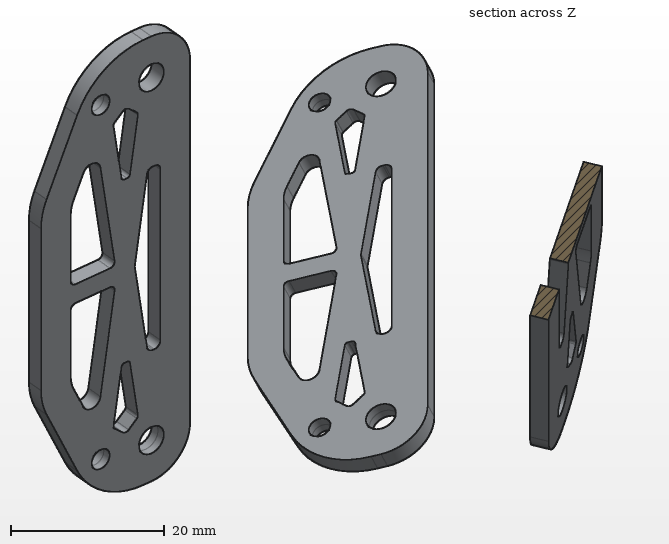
import cadquery as cq
import math


THICKNESS = 2.54
WIDTH = 25.0
HEIGHT = 70.35
HALF_HEIGHT = HEIGHT / 2
BACK_CORNER_RADIUS = 6.5
NOSE_RADIUS = 12.2
BEND_RADIUS = 10.0
SLOPE_ANGLE = math.radians(24.8)
BEND_Z = 15.0

LARGE_HOLE_DIAMETER = 4.15
LARGE_HOLE_INSET = BACK_CORNER_RADIUS
SMALL_HOLE_DIAMETER = 3.0
SMALL_HOLE_OFFSET = 15.0
SMALL_HOLE_Z = 28.0

RIM = 5.0
STRUT_SLOPE = 0.15
CROSSBAR = 3.0
WINDOW_END_Z = 14.5

BACK_WINDOW_TIP = 9.28
BACK_WINDOW_RADIUS = 1.0

FRONT_WINDOW_CORNER = 12.55
FRONT_WINDOW_RADIUS = 0.75
FRONT_WINDOW_TIP_RADIUS = 1.5

KITE_OFFSET = 10.8
KITE_END_HALF_WIDTH = 0.65
KITE_SHOULDER_Z = 24.0
KITE_APEX_Z = 25.8
KITE_RADIUS = 0.5
KITE_APEX_RADIUS = 0.75


def rounded_prism(corners):
    """Extrude a polygon through the plate; corners are (offset, z, fillet radius)."""
    count = len(corners)
    arcs = []
    for index, (offset, z, radius) in enumerate(corners):
        corner = cq.Vector(offset, z)
        previous = cq.Vector(*corners[index - 1][:2])
        following = cq.Vector(*corners[(index + 1) % count][:2])
        to_previous = (previous - corner).normalized()
        to_following = (following - corner).normalized()
        half_angle = to_previous.getAngle(to_following) / 2
        bisector = (to_previous + to_following).normalized()
        tangent_length = radius / math.tan(half_angle)
        arc_depth = radius / math.sin(half_angle) - radius
        arcs.append((
            corner + to_previous * tangent_length,
            corner + bisector * arc_depth,
            corner + to_following * tangent_length,
        ))

    def in_plane(point):
        return (WIDTH / 2 - point.x, point.y)

    sketch = cq.Workplane("YZ").moveTo(*in_plane(arcs[-1][2]))
    for start, middle, end in arcs:
        sketch = sketch.lineTo(*in_plane(start))
        sketch = sketch.threePointArc(in_plane(middle), in_plane(end))
    return sketch.close().extrude(THICKNESS / 2, both=True)


def plate():
    """Outer outline without any openings."""
    nose_offset = WIDTH - (HALF_HEIGHT - BEND_Z) * math.tan(SLOPE_ANGLE)
    upper_corners = [
        (0, HALF_HEIGHT, BACK_CORNER_RADIUS),
        (nose_offset, HALF_HEIGHT, NOSE_RADIUS),
        (WIDTH, BEND_Z, BEND_RADIUS),
    ]
    lower_corners = [(offset, -z, radius) for offset, z, radius in reversed(upper_corners)]
    return rounded_prism(upper_corners + lower_corners)


def back_window():
    """Back window along the straight edge, narrowing from mid-height to both ends."""
    strut_end = BACK_WINDOW_TIP - STRUT_SLOPE * WINDOW_END_Z
    return rounded_prism([
        (RIM, WINDOW_END_Z, BACK_WINDOW_RADIUS),
        (strut_end, WINDOW_END_Z, BACK_WINDOW_RADIUS),
        (BACK_WINDOW_TIP, 0, BACK_WINDOW_RADIUS),
        (strut_end, -WINDOW_END_Z, BACK_WINDOW_RADIUS),
        (RIM, -WINDOW_END_Z, BACK_WINDOW_RADIUS),
    ])


def front_window():
    """Upper front window; its front and sloping sides run parallel to the plate edge."""
    base_z = CROSSBAR / 2
    front = WIDTH - RIM
    bend_z = BEND_Z - RIM * math.tan(SLOPE_ANGLE / 2)
    closing_rate = STRUT_SLOPE + math.tan(SLOPE_ANGLE)
    gap_at_bend = front - FRONT_WINDOW_CORNER - STRUT_SLOPE * (bend_z - base_z)
    tip_rise = gap_at_bend / closing_rate
    tip = front - tip_rise * math.tan(SLOPE_ANGLE)
    return rounded_prism([
        (FRONT_WINDOW_CORNER, base_z, FRONT_WINDOW_RADIUS),
        (tip, bend_z + tip_rise, FRONT_WINDOW_TIP_RADIUS),
        (front, bend_z, BEND_RADIUS - RIM),
        (front, base_z, FRONT_WINDOW_RADIUS),
    ])


def kite_window():
    """Upper kite-shaped window between the diagonal struts."""
    shoulder = KITE_END_HALF_WIDTH + STRUT_SLOPE * (KITE_SHOULDER_Z - WINDOW_END_Z)
    return rounded_prism([
        (KITE_OFFSET - KITE_END_HALF_WIDTH, WINDOW_END_Z, KITE_RADIUS),
        (KITE_OFFSET - shoulder, KITE_SHOULDER_Z, KITE_RADIUS),
        (KITE_OFFSET, KITE_APEX_Z, KITE_APEX_RADIUS),
        (KITE_OFFSET + shoulder, KITE_SHOULDER_Z, KITE_RADIUS),
        (KITE_OFFSET + KITE_END_HALF_WIDTH, WINDOW_END_Z, KITE_RADIUS),
    ])


def round_hole(offset, z, diameter):
    sketch = cq.Workplane("YZ").center(WIDTH / 2 - offset, z).circle(diameter / 2)
    return sketch.extrude(THICKNESS / 2, both=True)


upper_cutouts = [
    front_window(),
    kite_window(),
    round_hole(LARGE_HOLE_INSET, HALF_HEIGHT - LARGE_HOLE_INSET, LARGE_HOLE_DIAMETER),
    round_hole(SMALL_HOLE_OFFSET, SMALL_HOLE_Z, SMALL_HOLE_DIAMETER),
]

result = plate().cut(back_window())
for cutout in upper_cutouts:
    result = result.cut(cutout).cut(cutout.mirror("XY"))